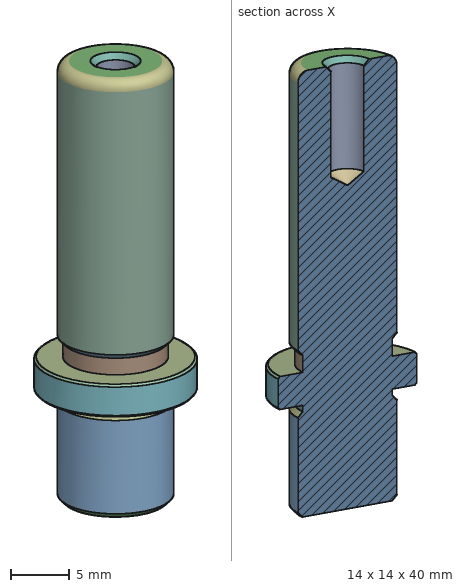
import cadquery as cq
import math

total_length = 40.0
pin_radius = 5.0
tip_fillet = 1.0
bottom_chamfer = 0.5

flange_radius = 7.0
flange_bottom = 10.0
flange_thickness = 3.0
flange_chamfer = 0.2
flange_top = flange_bottom + flange_thickness

groove_depth = 0.5
lower_groove_width = 1.0
upper_groove_width = 2.0
groove_radius = pin_radius - groove_depth
lower_groove_start = flange_bottom - lower_groove_width
upper_groove_end = flange_top + upper_groove_width

hole_radius = 1.65
countersink_radius = 2.15
hole_depth = 10.0
drill_point_angle = 118.0


def make_pin():
    """Revolve the outer half profile and round the tip."""
    profile = (
        cq.Workplane("XZ")
        .lineTo(pin_radius - bottom_chamfer, 0)
        .lineTo(pin_radius, bottom_chamfer)
        .lineTo(pin_radius, lower_groove_start)
        .lineTo(groove_radius, lower_groove_start + groove_depth)
        .lineTo(groove_radius, flange_bottom)
        .lineTo(flange_radius - flange_chamfer, flange_bottom)
        .lineTo(flange_radius, flange_bottom + flange_chamfer)
        .lineTo(flange_radius, flange_top - flange_chamfer)
        .lineTo(flange_radius - flange_chamfer, flange_top)
        .lineTo(groove_radius, flange_top)
        .lineTo(groove_radius, upper_groove_end - groove_depth)
        .lineTo(pin_radius, upper_groove_end)
        .lineTo(pin_radius, total_length)
        .lineTo(0, total_length)
        .close()
    )
    pin = profile.revolve(360, (0, 0), (0, 1))
    return pin.faces(">Z").edges().fillet(tip_fillet)


def make_hole():
    """Revolve the half profile of the countersunk blind hole."""
    countersink_depth = countersink_radius - hole_radius
    point_depth = hole_radius / math.tan(math.radians(drill_point_angle / 2))
    hole_bottom = total_length - hole_depth
    return (
        cq.Workplane("XZ")
        .moveTo(0, total_length)
        .lineTo(countersink_radius, total_length)
        .lineTo(hole_radius, total_length - countersink_depth)
        .lineTo(hole_radius, hole_bottom)
        .lineTo(0, hole_bottom - point_depth)
        .close()
        .revolve(360, (0, 0), (0, 1))
    )


result = make_pin().cut(make_hole())